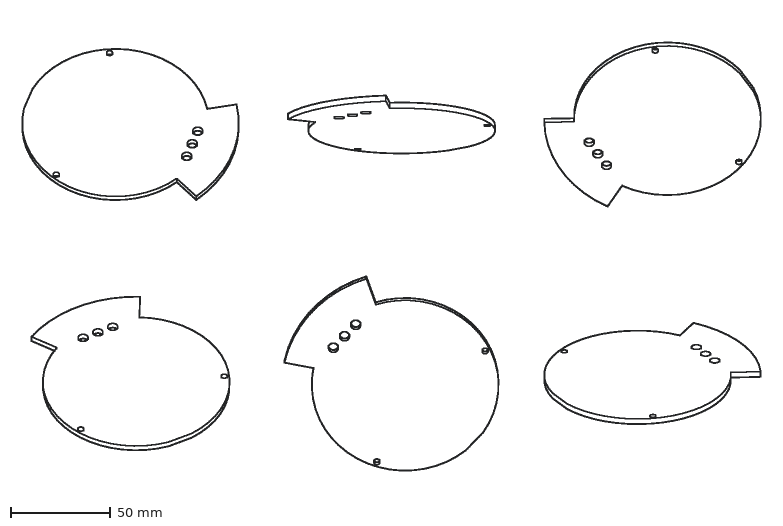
import cadquery as cq
import math

thickness = 3.0
overall_length = 108.5
disc_radius = 47.0
flat_width = 13.2
tab_half_angle = math.radians(30)

large_hole_diameter = 5.0
large_hole_x = 40.8
large_hole_spacing = 8.5
large_hole_count = 3

small_hole_diameter = 3.0
small_hole_x = -17.4
small_hole_y = 40.9

flat_distance = math.sqrt(disc_radius**2 - (flat_width / 2) ** 2)
tab_radius = overall_length - flat_distance


def polar_point(radius, angle):
    return (radius * math.cos(angle), radius * math.sin(angle))


def make_plate():
    """Disc with a flat on -X and a concentric sector tab on +X."""
    return (
        cq.Workplane("XY")
        .moveTo(-flat_distance, -flat_width / 2)
        .threePointArc((0, -disc_radius), polar_point(disc_radius, -tab_half_angle))
        .lineTo(*polar_point(tab_radius, -tab_half_angle))
        .threePointArc((tab_radius, 0), polar_point(tab_radius, tab_half_angle))
        .lineTo(*polar_point(disc_radius, tab_half_angle))
        .threePointArc((0, disc_radius), (-flat_distance, flat_width / 2))
        .close()
        .extrude(thickness)
    )


def drill(plate, points, diameter):
    """Cut round through holes at the given points."""
    cutters = cq.Workplane("XY").pushPoints(points).circle(diameter / 2).extrude(thickness)
    return plate.cut(cutters)


middle_index = (large_hole_count - 1) / 2
large_hole_points = [
    (large_hole_x, (index - middle_index) * large_hole_spacing)
    for index in range(large_hole_count)
]

small_hole_points = [(small_hole_x, side * small_hole_y) for side in (-1, 1)]

result = make_plate()
result = drill(result, large_hole_points, large_hole_diameter)
result = drill(result, small_hole_points, small_hole_diameter)